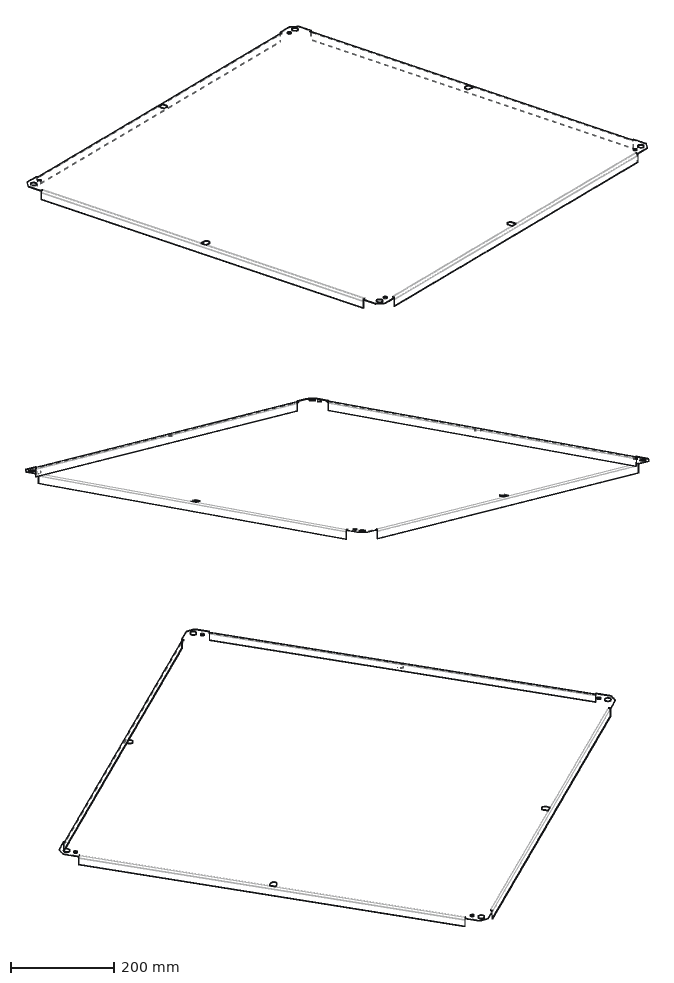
import cadquery as cq

side = 869.0
height = 20.0
sheet = 2.0
half = side / 2

bend_radius = 5.0
flange_length = 782.0

corner_cut = 13.0
corner_hole_diameter = 13.0
corner_hole_inset = 15.0
small_hole_diameter = 7.9
small_hole_inset = 33.0
slot_width = 13.0
slot_inner_inset = 21.0
edges = (0, 90, 180, 270)


def make_plate():
    """Flat square sheet with clipped corners, trimmed back where it meets the bends."""
    plate = cq.Workplane("XY").workplane(offset=height - sheet).rect(side, side).extrude(sheet)
    plate = plate.edges("|Z").chamfer(corner_cut)
    for angle in edges:
        bend_gap = (
            cq.Workplane("XY")
            .box(flange_length, bend_radius, height, centered=(True, False, False))
            .translate((0, half - bend_radius, 0))
            .rotate((0, 0, 0), (0, 0, 1), angle)
        )
        plate = plate.cut(bend_gap)
    return plate


def make_flange():
    """Rounded bend and downward lip along the +Y edge."""
    inner_radius = bend_radius - sheet
    bend_start = half - bend_radius
    bend_end = height - bend_radius
    diagonal = 0.5 ** 0.5
    return (
        cq.Workplane("YZ")
        .moveTo(bend_start, height)
        .threePointArc(
            (bend_start + bend_radius * diagonal, bend_end + bend_radius * diagonal),
            (half, bend_end),
        )
        .lineTo(half, 0)
        .lineTo(half - sheet, 0)
        .lineTo(half - sheet, bend_end)
        .threePointArc(
            (bend_start + inner_radius * diagonal, bend_end + inner_radius * diagonal),
            (bend_start, height - sheet),
        )
        .close()
        .extrude(flange_length / 2, both=True)
    )


def make_holes():
    """Large and small through holes at all four corners."""
    hole_place = half - corner_hole_inset
    small_place = half - small_hole_inset
    large = cq.Workplane("XY").rect(2 * hole_place, 2 * hole_place, forConstruction=True).vertices()
    small = cq.Workplane("XY").rect(2 * hole_place, 2 * small_place, forConstruction=True).vertices()
    return (
        large.circle(corner_hole_diameter / 2).extrude(height)
        .union(small.circle(small_hole_diameter / 2).extrude(height))
    )


def make_slot():
    """Round-ended slot at the middle of the +Y edge, stopping at the bend."""
    slot_length = slot_inner_inset - bend_radius
    radius = slot_width / 2
    inner_end = half - slot_inner_inset
    outer_end = inner_end + slot_length
    return (
        cq.Workplane("XY")
        .moveTo(-radius, outer_end)
        .lineTo(-radius, inner_end + radius)
        .threePointArc((0, inner_end), (radius, inner_end + radius))
        .lineTo(radius, outer_end)
        .close()
        .extrude(height)
    )


result = make_plate()
for angle in edges:
    result = result.union(make_flange().rotate((0, 0, 0), (0, 0, 1), angle))
result = result.cut(make_holes())
for angle in edges:
    result = result.cut(make_slot().rotate((0, 0, 0), (0, 0, 1), angle))